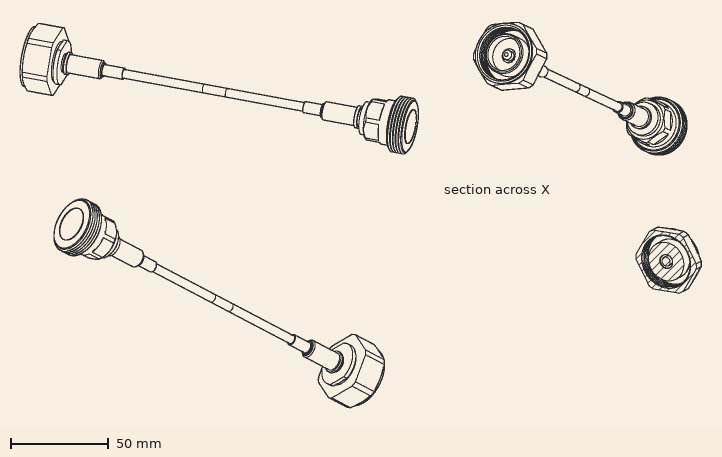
import cadquery as cq
import math

OVERALL_LENGTH = 206.01
HEX_SIDES = 6

CABLE_DIAMETER = 4.6
CABLE_START = 50.7
CABLE_END = 148.5
MARKER_START = 94.0
MARKER_END = 106.4

SLEEVE_DIAMETER = 5.9
COLLAR_DIAMETER = 7.4
BARREL_DIAMETER = 9.6
BARREL_CHAMFER = 0.7
RING_DIAMETER = 11.6

THREAD_DIAMETER = 29.2
THREAD_ROOT_DIAMETER = 27.4
THREAD_PITCH = 1.5
THREAD_RIDGES = 5

NUT_ACROSS_FLATS = 31.86
NUT_CORNER_DIAMETER = 35.23
NUT_LENGTH = 15.2
NUT_FACE_DIAMETER = 31.4
NUT_COLLAR_LENGTH = 1.2
NUT_CHAMFER_END = 2.0
NUT_BORE_DIAMETER = THREAD_ROOT_DIAMETER
NUT_BORE_CHAMFER = (THREAD_DIAMETER - THREAD_ROOT_DIAMETER) / 2
NUT_BORE_DEPTH = 10.0

SHELL_OUTER_DIAMETER = 20.8
SHELL_INNER_DIAMETER = 17.8
SHELL_TIP_RECESS = 0.4
SHELL_TIP_CHAMFER = 0.6
SOCKET_DEPTH = 6.7
PIN_WELL_DIAMETER = 7.2
PIN_WELL_DEPTH = 1.0
PIN_DIAMETER = 5.0
PIN_TIP_DIAMETER = 2.0
PIN_TIP_LENGTH = 1.2
PIN_RECESS = 3.6

PLUG_NECK_DIAMETER = 21.0
PLUG_FLANGE_START = 16.3
PLUG_FLANGE_END = 18.5
PLUG_FLANGE_DIAMETER = 23.0
PLUG_FLANGE_ACROSS_FLATS = 20.8
PLUG_STEP_DIAMETER = 10.3
PLUG_STEP_START = 19.4
PLUG_RING_START = 20.0
PLUG_RING_END = 21.4
PLUG_BARREL_END = 39.3
PLUG_COLLAR_END = 40.0

JACK_COLLAR_START = 158.2
JACK_BARREL_START = 158.9
JACK_RING_START = 177.0
JACK_RING_END = 178.6
JACK_FLANGE_START = 180.7
JACK_FLANGE_END = 183.7
JACK_FLANGE_DIAMETER = 17.1
JACK_BODY_DIAMETER = 23.2
JACK_BODY_CHAMFER = 1.4
JACK_HEX_ACROSS_FLATS = 21.1
JACK_HEX_END = 192.2

JACK_THREAD_START = 197.2
JACK_THREAD_END = 205.6
JACK_THREAD_CHAMFER = 0.5
LIP_DIAMETER = 17.7


def cylinder(diameter, start, end):
    return cq.Workplane("YZ", origin=(start, 0, 0)).circle(diameter / 2).extrude(end - start)


def hex_prism(across_flats, start, end):
    corner_diameter = across_flats / math.cos(math.pi / HEX_SIDES)
    return cq.Workplane("YZ", origin=(start, 0, 0)).polygon(HEX_SIDES, corner_diameter).extrude(end - start)


def cone(start_diameter, end_diameter, start, end):
    profile = [(start, 0), (start, start_diameter / 2), (end, end_diameter / 2), (end, 0)]
    return cq.Workplane("XY").polyline(profile).close().revolve(360, (0, 0, 0), (1, 0, 0))


def thread_ridges(first_start):
    """A row of V-shaped ridges side by side, each on a solid core of the root diameter."""
    root_radius = THREAD_ROOT_DIAMETER / 2
    last_end = first_start + THREAD_RIDGES * THREAD_PITCH
    outline = cq.Workplane("XY").moveTo(first_start, 0).lineTo(first_start, root_radius)
    for ridge in range(THREAD_RIDGES):
        start = first_start + ridge * THREAD_PITCH
        outline = outline.lineTo(start + THREAD_PITCH / 2, THREAD_DIAMETER / 2)
        outline = outline.lineTo(start + THREAD_PITCH, root_radius)
    outline = outline.lineTo(last_end, 0).close()
    return outline.revolve(360, (0, 0, 0), (1, 0, 0))


def make_nut():
    envelope = cylinder(NUT_FACE_DIAMETER, 0, NUT_COLLAR_LENGTH)
    chamfer = cone(NUT_FACE_DIAMETER, NUT_CORNER_DIAMETER, NUT_COLLAR_LENGTH, NUT_CHAMFER_END)
    envelope = envelope.union(chamfer)
    envelope = envelope.union(cylinder(NUT_CORNER_DIAMETER, NUT_CHAMFER_END, NUT_LENGTH))
    nut = hex_prism(NUT_ACROSS_FLATS, 0, NUT_LENGTH).intersect(envelope)
    mouth_diameter = NUT_BORE_DIAMETER + 2 * NUT_BORE_CHAMFER
    nut = nut.cut(cylinder(NUT_BORE_DIAMETER, 0, NUT_BORE_DEPTH))
    nut = nut.cut(thread_ridges(NUT_BORE_CHAMFER))
    return nut.cut(cone(mouth_diameter, NUT_BORE_DIAMETER, 0, NUT_BORE_CHAMFER))


def make_contacts():
    shell = cylinder(SHELL_OUTER_DIAMETER, SHELL_TIP_RECESS, NUT_LENGTH)
    shell = shell.faces("<X").chamfer(SHELL_TIP_CHAMFER)
    shell = shell.cut(cylinder(SHELL_INNER_DIAMETER, SHELL_TIP_RECESS, SOCKET_DEPTH))
    shell = shell.cut(cylinder(PIN_WELL_DIAMETER, SOCKET_DEPTH, SOCKET_DEPTH + PIN_WELL_DEPTH))
    shoulder = PIN_RECESS + PIN_TIP_LENGTH
    pin = cylinder(PIN_DIAMETER, shoulder, NUT_LENGTH)
    tip = cone(PIN_TIP_DIAMETER, PIN_DIAMETER, PIN_RECESS, shoulder)
    return shell.union(pin).union(tip)


def make_plug_flange():
    flange = cylinder(PLUG_FLANGE_DIAMETER, PLUG_FLANGE_START, PLUG_FLANGE_END)
    flats = cq.Workplane("XY").box(OVERALL_LENGTH, PLUG_FLANGE_DIAMETER, PLUG_FLANGE_ACROSS_FLATS)
    return flange.intersect(flats)


def make_plug():
    plug = make_nut().union(make_contacts())
    plug = plug.union(cylinder(PLUG_NECK_DIAMETER, NUT_LENGTH, PLUG_FLANGE_START))
    plug = plug.union(make_plug_flange())
    barrel = cylinder(BARREL_DIAMETER, PLUG_FLANGE_END, PLUG_BARREL_END)
    plug = plug.union(barrel.faces(">X").chamfer(BARREL_CHAMFER))
    plug = plug.union(cylinder(PLUG_STEP_DIAMETER, PLUG_STEP_START, PLUG_RING_START))
    plug = plug.union(cylinder(RING_DIAMETER, PLUG_RING_START, PLUG_RING_END))
    plug = plug.union(cylinder(COLLAR_DIAMETER, PLUG_BARREL_END, PLUG_COLLAR_END))
    return plug.union(cylinder(SLEEVE_DIAMETER, PLUG_COLLAR_END, CABLE_START))


def make_jack_body():
    body = cylinder(JACK_BODY_DIAMETER, JACK_FLANGE_END, JACK_THREAD_START)
    body = body.faces("<X").chamfer(JACK_BODY_CHAMFER)
    hexagon = hex_prism(JACK_HEX_ACROSS_FLATS, JACK_FLANGE_END, JACK_HEX_END)
    hexagon = hexagon.rotate((0, 0, 0), (1, 0, 0), 180 / HEX_SIDES)
    return body.intersect(hexagon.union(cylinder(JACK_BODY_DIAMETER, JACK_HEX_END, JACK_THREAD_START)))


def make_jack_thread():
    core = cylinder(THREAD_ROOT_DIAMETER, JACK_THREAD_START, JACK_THREAD_END)
    core = core.faces("<X or >X").chamfer(JACK_THREAD_CHAMFER)
    first_ridge = (JACK_THREAD_START + JACK_THREAD_END - THREAD_RIDGES * THREAD_PITCH) / 2
    return core.union(thread_ridges(first_ridge))


def make_jack():
    jack = cylinder(SLEEVE_DIAMETER, CABLE_END, JACK_COLLAR_START)
    jack = jack.union(cylinder(COLLAR_DIAMETER, JACK_COLLAR_START, JACK_BARREL_START))
    barrel = cylinder(BARREL_DIAMETER, JACK_BARREL_START, JACK_FLANGE_START)
    jack = jack.union(barrel.faces("<X").chamfer(BARREL_CHAMFER))
    jack = jack.union(cylinder(RING_DIAMETER, JACK_RING_START, JACK_RING_END))
    jack = jack.union(cylinder(JACK_FLANGE_DIAMETER, JACK_FLANGE_START, JACK_FLANGE_END))
    jack = jack.union(make_jack_body()).union(make_jack_thread())
    return jack.union(cylinder(LIP_DIAMETER, JACK_THREAD_END, OVERALL_LENGTH))


plug = make_plug()
jack = make_jack()
plug_cable = cylinder(CABLE_DIAMETER, CABLE_START, MARKER_START)
marker = cylinder(CABLE_DIAMETER, MARKER_START, MARKER_END)
jack_cable = cylinder(CABLE_DIAMETER, MARKER_END, CABLE_END)

result = cq.Compound.makeCompound(
    [plug.val(), plug_cable.val(), marker.val(), jack_cable.val(), jack.val()]
)